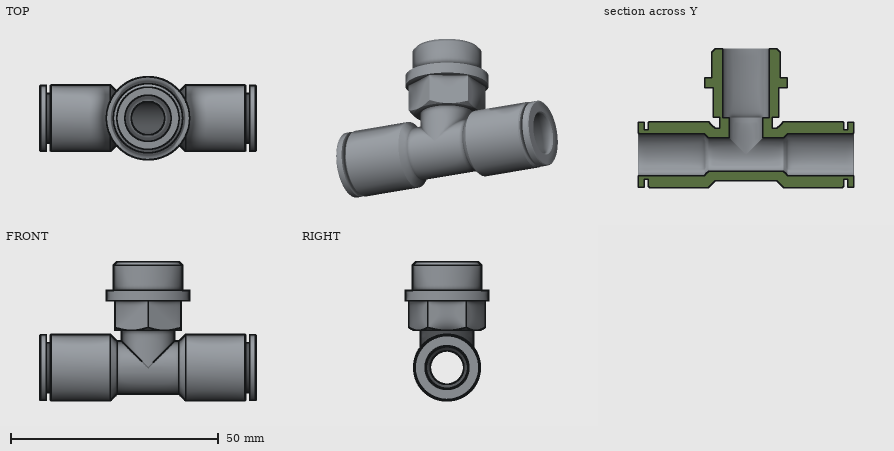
import cadquery as cq
import math


run_length = 52.0
body_diameter = 16.0
body_edge_chamfer = 0.3
body_end = 23.55
body_start = 9.05
neck_diameter = 12.8
collar_diameter = 15.8
collar_width = 1.55
collar_edge_chamfer = 0.2
groove_diameter = 12.0

bore_diameter = 8.0
mouth_diameter = 10.5
socket_diameter = 10.0
mouth_chamfer = (mouth_diameter - socket_diameter) / 2
socket_floor_angle = 45.0

stem_top = 25.5
flange_top = 18.55
flange_bottom = 16.0
flange_diameter = 20.0
hex_bottom = 8.95
hex_across_flats = 15.95
hex_chamfer_angle = 30.0
spigot_diameter = 16.65
spigot_chamfer = 0.85
counterbore_diameter = 11.15
counterbore_floor = hex_bottom


def z_cylinder(diameter, bottom, top):
    return cq.Workplane("XY").workplane(offset=bottom).circle(diameter / 2).extrude(top - bottom)


def revolve_symmetric_about_x(half_profile):
    """Revolve (x, radius) points, listed from the centre to the +X end, with their mirror image at -X."""
    mirrored = [(-x, radius) for x, radius in reversed(half_profile)]
    return cq.Workplane("XY").polyline(mirrored + half_profile).close().revolve(360, (0, 0, 0), (1, 0, 0))


def make_run():
    """Outside of the run: neck, bodies, grooves and collars."""
    half_length = run_length / 2
    neck_radius = neck_diameter / 2
    body_radius = body_diameter / 2
    groove_radius = groove_diameter / 2
    collar_radius = collar_diameter / 2
    collar_start = half_length - collar_width
    neck_end = body_start - (body_radius - neck_radius)
    return revolve_symmetric_about_x([
        (neck_end, neck_radius),
        (body_start, body_radius),
        (body_end - body_edge_chamfer, body_radius),
        (body_end, body_radius - body_edge_chamfer),
        (body_end, groove_radius),
        (collar_start, groove_radius),
        (collar_start, collar_radius),
        (half_length - collar_edge_chamfer, collar_radius),
        (half_length, collar_radius - collar_edge_chamfer),
        (half_length, 0),
    ])


def make_run_bore():
    """Through bore with a wider tube socket at each end."""
    half_length = run_length / 2
    floor_length = (socket_diameter - bore_diameter) / 2 / math.tan(math.radians(socket_floor_angle))
    return revolve_symmetric_about_x([
        (body_start, bore_diameter / 2),
        (body_start + floor_length, socket_diameter / 2),
        (half_length - mouth_chamfer, socket_diameter / 2),
        (half_length, mouth_diameter / 2),
        (half_length, 0),
    ])


def make_hexagon():
    """Hexagon with flats facing +X and -X, its lower corners cut by a cone."""
    across_corners = hex_across_flats / math.cos(math.radians(30))
    height = flange_bottom - hex_bottom
    prism = (
        cq.Workplane("XY").workplane(offset=hex_bottom)
        .transformed(rotate=(0, 0, 90))
        .polygon(6, across_corners)
        .extrude(height)
    )
    bottom_radius = hex_across_flats / 2
    cone_radius = flange_diameter / 2
    cone_height = (cone_radius - bottom_radius) * math.tan(math.radians(hex_chamfer_angle))
    envelope = (
        cq.Workplane("XZ")
        .polyline([
            (0, hex_bottom),
            (bottom_radius, hex_bottom),
            (cone_radius, hex_bottom + cone_height),
            (cone_radius, flange_bottom),
            (0, flange_bottom),
        ])
        .close()
        .revolve(360, (0, 0, 0), (0, 1, 0))
    )
    return prism.intersect(envelope)


def make_stem():
    neck = z_cylinder(neck_diameter, 0, hex_bottom)
    flange = z_cylinder(flange_diameter, flange_bottom, flange_top)
    spigot = z_cylinder(spigot_diameter, flange_top, stem_top).faces(">Z").chamfer(spigot_chamfer)
    return neck.union(make_hexagon()).union(flange).union(spigot)


outside = make_run().union(make_stem())
stem_bore = z_cylinder(bore_diameter, 0, stem_top)
counterbore = z_cylinder(counterbore_diameter, counterbore_floor, stem_top)

result = outside.cut(make_run_bore()).cut(stem_bore).cut(counterbore)